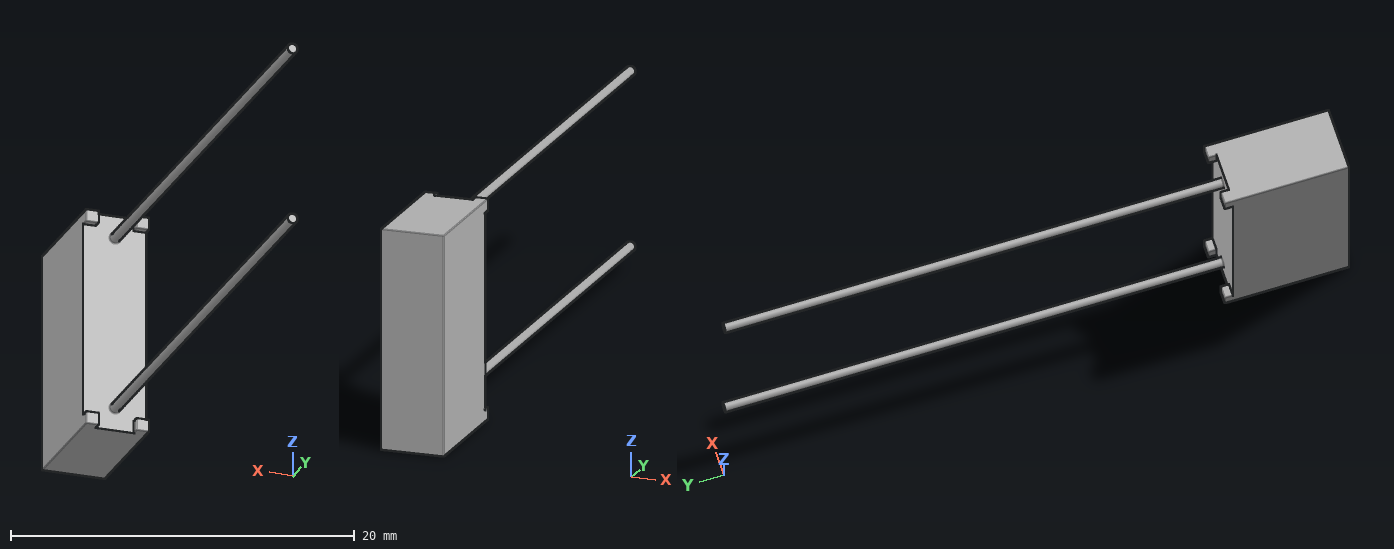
import cadquery as cq

body_width = 3.91
body_height = 13.51
total_length = 37.59
body_depth = 7.62

foot_width = 0.80
foot_height = 0.77
foot_length = 0.51

lead_diameter = 0.61
lead_spacing = 10.71

edge_radius = 0.05

seat_y = body_depth - foot_length
lead_length = total_length - seat_y


def box_from_y(width, length, height, start_y):
    """Box centred on X and Z that runs along +Y from start_y."""
    box = cq.Workplane("XY").box(width, length, height, centered=(True, False, True))
    return box.translate((0, start_y, 0))


def make_body():
    """Case with its front at Y = 0; two crossing channels in the back leave the four feet."""
    case = box_from_y(body_width, body_depth, body_height, 0)
    channel_along_z = box_from_y(body_width - 2 * foot_width, foot_length, body_height, seat_y)
    channel_along_x = box_from_y(body_width, foot_length, body_height - 2 * foot_height, seat_y)
    case = case.cut(channel_along_z).cut(channel_along_x)
    return case.edges("|Y or <Y or >Y").fillet(edge_radius)


def make_lead(z):
    """Round lead along +Y that flares with a concave fillet where it meets the back face."""
    lead_radius = lead_diameter / 2
    root_radius = lead_radius + edge_radius
    profile = (
        cq.Workplane("XY")
        .moveTo(0, seat_y)
        .lineTo(root_radius, seat_y)
        .radiusArc((lead_radius, seat_y + edge_radius), edge_radius)
        .lineTo(lead_radius, seat_y + lead_length)
        .lineTo(0, seat_y + lead_length)
        .close()
    )
    return profile.revolve(360, (0, 0), (0, 1)).translate((0, 0, z))


result = make_body()
for side in (-1, 1):
    result = result.union(make_lead(side * lead_spacing / 2))